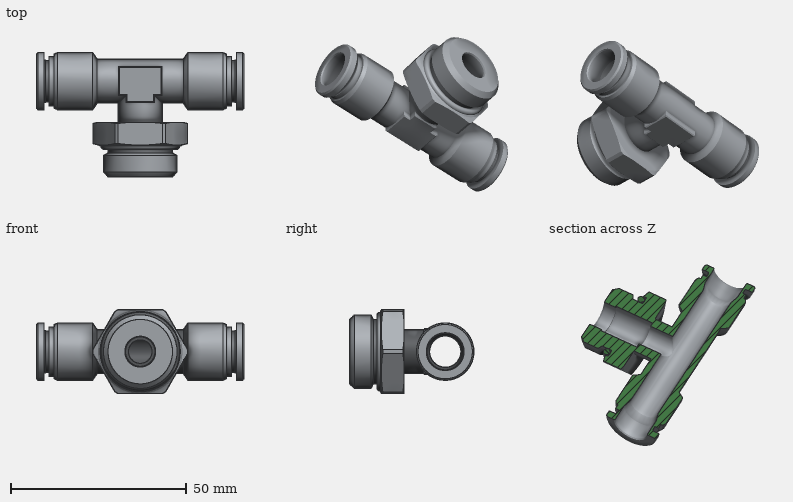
import cadquery as cq
import math


half_run = 29.6
sleeve_radius = 8.2

flange_width = 2.15
flange_chamfer = 0.45
collar_neck_radius = 6.05
collar_step_depth = 2.5
collar_step_height = 0.1
collar_end = 3.55
tail_radius = 7.05
tail_end = 5.0
sleeve_lead_radius = 7.7
sleeve_lead_end = 6.05
sleeve_end = 16.0
shoulder_end = 17.3
tube_radius = 6.3

mouth_radius = 5.4
mouth_chamfer_depth = 0.4
socket_radius = 5.2
socket_end = 5.5
socket_cone_end = 8.0
run_bore_radius = 4.45

hex_start = 11.75
hex_across_flats = 24.0
hex_corner_radius = 13.55
hex_chamfer_angle = 15
hex_chamfer_start_radius = 12.3
hex_cone_end_radius = 11.9
hex_cone_end = 18.25
hex_face_radius = 11.45
hex_end = 18.5
relief_radius = 9.2
relief_end = 20.5
thread_radius = 10.5
thread_start = 21.2
thread_end = 25.85
stud_end = 27.3
stud_tip_radius = 9.2

stud_hole_radius = 3.35
counterbore_radius = 4.2
counterbore_chamfer = 0.2
counterbore_chamfer_depth = 0.5
counterbore_depth = 4.0
chamber_radius = 4.6
chamber_floor = hex_start

ring_section_radius = 1.02
ring_groove_clearance = 0.1
ring_center_radius = relief_radius + ring_section_radius

pad_half_height = 6.55
pad_half_width = 6.2
pad_back = 4.15
pad_step = -4.05
pad_front = -6.15
pad_stem_half_width = 4.05
pad_chamfer = 0.3


def hex_chamfer_drop(inner_radius):
    """Height of the hexagon's end cone between inner_radius and the rounded corners."""
    return (hex_corner_radius - inner_radius) * math.tan(math.radians(hex_chamfer_angle))


def revolve_on_run(points):
    """Turn a (x, radius) outline about the X axis."""
    return cq.Workplane("XY").polyline(points).close().revolve(360, (0, 0, 0), (1, 0, 0))


def stud_cylinder(radius, start, end):
    """Round bar on the stud axis between two distances from the run axis."""
    plane = cq.Workplane("XZ", origin=(0, -start, 0))
    return plane.circle(radius).extrude(end - start)


def make_run_end():
    """Half of the run: tube, sleeve, tail, and release collar at -X."""
    end = -half_run
    step_radius = collar_neck_radius - collar_step_height
    return revolve_on_run([
        (end, 0),
        (end, sleeve_radius - flange_chamfer),
        (end + flange_chamfer, sleeve_radius),
        (end + flange_width, sleeve_radius),
        (end + flange_width, collar_neck_radius),
        (end + collar_step_depth, collar_neck_radius),
        (end + collar_step_depth, step_radius),
        (end + collar_end, step_radius),
        (end + collar_end, tail_radius),
        (end + tail_end, tail_radius),
        (end + tail_end, sleeve_lead_radius),
        (end + sleeve_lead_end, sleeve_radius),
        (end + sleeve_end, sleeve_radius),
        (end + shoulder_end, tube_radius),
        (0, tube_radius),
        (0, 0),
    ])


def make_run_end_bore():
    """Half of the run bore: chamfered mouth, tube socket, and a cone down to the bore."""
    end = -half_run
    return revolve_on_run([
        (end, 0),
        (end, mouth_radius),
        (end + mouth_chamfer_depth, socket_radius),
        (end + socket_end, socket_radius),
        (end + socket_cone_end, run_bore_radius),
        (0, run_bore_radius),
        (0, 0),
    ])


def make_hexagon():
    """Hexagon with flats facing up and down, rounded corners and coned ends."""
    across_corners = hex_across_flats / math.cos(math.radians(30))
    prism = (
        cq.Workplane("XZ", origin=(0, -hex_start, 0))
        .polygon(6, across_corners)
        .extrude(hex_end - hex_start)
    )
    back_drop = hex_chamfer_drop(hex_chamfer_start_radius)
    front_drop = hex_chamfer_drop(hex_cone_end_radius)
    envelope = (
        cq.Workplane("XY")
        .moveTo(0, -hex_start)
        .lineTo(hex_chamfer_start_radius, -hex_start)
        .lineTo(hex_corner_radius, -hex_start - back_drop)
        .lineTo(hex_corner_radius, -hex_cone_end + front_drop)
        .lineTo(hex_cone_end_radius, -hex_cone_end)
        .lineTo(hex_face_radius, -hex_end)
        .lineTo(0, -hex_end)
        .close()
        .revolve(360, (0, 0, 0), (0, 1, 0))
    )
    return prism.intersect(envelope)


def make_thread_end():
    """Relief groove and threaded end of the stud, threads left plain."""
    return (
        cq.Workplane("XY")
        .moveTo(0, -hex_start)
        .lineTo(relief_radius, -hex_start)
        .lineTo(relief_radius, -relief_end)
        .lineTo(thread_radius, -thread_start)
        .lineTo(thread_radius, -thread_end)
        .lineTo(stud_tip_radius, -stud_end)
        .lineTo(0, -stud_end)
        .close()
        .revolve(360, (0, 0, 0), (0, 1, 0))
    )


def make_stud_bore():
    """Hole from the run bore to the stud tip, with a wider chamber behind a chamfered counterbore."""
    hole = stud_cylinder(stud_hole_radius, 0, stud_end)
    chamber_end = stud_end - counterbore_depth
    chamber = stud_cylinder(chamber_radius, chamber_floor, chamber_end)
    counterbore = stud_cylinder(counterbore_radius, chamber_end, stud_end)
    entry = (
        cq.Workplane("XY")
        .moveTo(0, -stud_end)
        .lineTo(counterbore_radius + counterbore_chamfer, -stud_end)
        .lineTo(counterbore_radius, -stud_end + counterbore_chamfer_depth)
        .lineTo(0, -stud_end + counterbore_chamfer_depth)
        .close()
        .revolve(360, (0, 0, 0), (0, 1, 0))
    )
    return hole.union(chamber).union(counterbore).union(entry)


def make_pads():
    """T-shaped block through the tee that leaves a flat pad above and below."""
    return (
        cq.Workplane("XY", origin=(0, 0, -pad_half_height))
        .moveTo(-pad_half_width, pad_back)
        .lineTo(pad_half_width, pad_back)
        .lineTo(pad_half_width, pad_step)
        .lineTo(pad_stem_half_width, pad_step)
        .lineTo(pad_stem_half_width, pad_front)
        .lineTo(-pad_stem_half_width, pad_front)
        .lineTo(-pad_stem_half_width, pad_step)
        .lineTo(-pad_half_width, pad_step)
        .close()
        .extrude(2 * pad_half_height)
        .faces("|Z")
        .edges()
        .chamfer(pad_chamfer)
    )


def make_sealing_ring():
    """Round-section ring about the stud axis, centred on the face of the hexagon."""
    return (
        cq.Workplane("XY")
        .center(ring_center_radius, -hex_end)
        .circle(ring_section_radius)
        .revolve(360, (-ring_center_radius, 0, 0), (-ring_center_radius, 1, 0))
    )


def make_ring_groove():
    """Square groove around the relief, deep enough for half of the sealing ring."""
    outer_radius = ring_center_radius + ring_section_radius + ring_groove_clearance
    floor = hex_end - ring_section_radius
    core = stud_cylinder(relief_radius, floor, hex_end)
    return stud_cylinder(outer_radius, floor, hex_end).cut(core)


def make_fitting():
    """The whole tee in one piece, bored through and grooved for the sealing ring."""
    run_end = make_run_end()
    run_bore = make_run_end_bore()
    return (
        run_end
        .union(run_end.mirror("YZ"))
        .union(stud_cylinder(tube_radius, 0, hex_start))
        .union(make_pads())
        .union(make_hexagon())
        .union(make_thread_end())
        .cut(make_ring_groove())
        .cut(run_bore)
        .cut(run_bore.mirror("YZ"))
        .cut(make_stud_bore())
    )


sealing_ring = make_sealing_ring()
fitting = make_fitting()

result = cq.Compound.makeCompound([fitting.solids().val(), sealing_ring.val()])